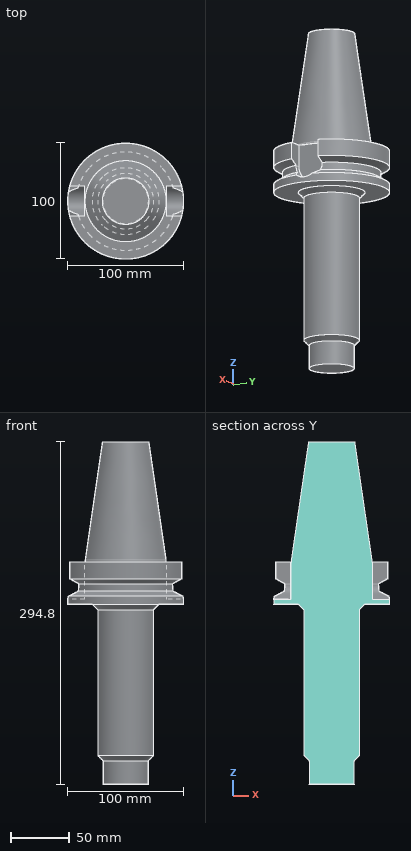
import cadquery as cq
import math

GAUGE_DIAMETER = 69.85
TAPER_LENGTH = 101.8
TAPER_RATIO = 7 / 24
PROJECTION = 193.0

FLANGE_DIAMETER = 100.0
FLANGE_TOP_GAP = 1.5
FLANGE_BOTTOM_DEPTH = 38.0
UPPER_RIM_HEIGHT = 14.5
GROOVE_MOUTH_WIDTH = 15.0
GROOVE_FLOOR_DIAMETER = 85.0
GROOVE_FLANK_ANGLE = 30.0

SLOT_WIDTH = 25.7
SLOT_FLAT_DISTANCE = 35.3
SLOT_BOTTOM_DEPTH = 33.5

BODY_DIAMETER = 48.0
NECK_CONE_HEIGHT = 4.8
NOSE_DIAMETER = 39.0
NOSE_LENGTH = 20.3


def make_revolved_body():
    """Revolve the half profile of taper, flange, body and nose about Z."""
    gauge_radius = GAUGE_DIAMETER / 2
    small_end_radius = gauge_radius - TAPER_LENGTH * TAPER_RATIO / 2
    flange_radius = FLANGE_DIAMETER / 2
    groove_radius = GROOVE_FLOOR_DIAMETER / 2
    body_radius = BODY_DIAMETER / 2
    nose_radius = NOSE_DIAMETER / 2

    flank_height = (flange_radius - groove_radius) * math.tan(math.radians(GROOVE_FLANK_ANGLE))
    groove_top = -FLANGE_TOP_GAP - UPPER_RIM_HEIGHT
    groove_bottom = groove_top - GROOVE_MOUTH_WIDTH
    nose_top = NOSE_LENGTH - PROJECTION

    profile = [
        (0, TAPER_LENGTH),
        (small_end_radius, TAPER_LENGTH),
        (gauge_radius, 0),
        (gauge_radius, -FLANGE_TOP_GAP),
        (flange_radius, -FLANGE_TOP_GAP),
        (flange_radius, groove_top),
        (groove_radius, groove_top - flank_height),
        (groove_radius, groove_bottom + flank_height),
        (flange_radius, groove_bottom),
        (flange_radius, -FLANGE_BOTTOM_DEPTH),
        (body_radius + NECK_CONE_HEIGHT, -FLANGE_BOTTOM_DEPTH),
        (body_radius, -FLANGE_BOTTOM_DEPTH - NECK_CONE_HEIGHT),
        (body_radius, nose_top + body_radius - nose_radius),
        (nose_radius, nose_top),
        (nose_radius, -PROJECTION),
        (0, -PROJECTION),
    ]
    return cq.Workplane("XZ").polyline(profile).close().revolve(360, (0, 0), (0, 1))


def make_drive_slot(side):
    """Round-ended slot cutter, open to the top; side is +1 for +X, -1 for -X."""
    half_width = SLOT_WIDTH / 2
    arc_center_z = half_width - SLOT_BOTTOM_DEPTH
    slot_depth = FLANGE_DIAMETER / 2 - SLOT_FLAT_DISTANCE
    return (
        cq.Workplane("YZ", origin=(side * SLOT_FLAT_DISTANCE, 0, 0))
        .moveTo(-half_width, 0)
        .lineTo(-half_width, arc_center_z)
        .threePointArc((0, -SLOT_BOTTOM_DEPTH), (half_width, arc_center_z))
        .lineTo(half_width, 0)
        .close()
        .extrude(side * slot_depth)
    )


result = make_revolved_body()
for slot_side in (1, -1):
    result = result.cut(make_drive_slot(slot_side))